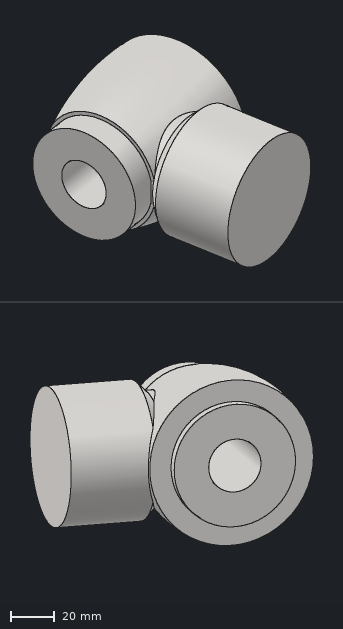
import cadquery as cq

hub_length = 78.5
hub_diameter = 58.0
bore_diameter = 25.0

front_inset = 13.0
back_inset = 5.0
barrel_front_radius = 31.0
barrel_shoulder_radius = 37.2
barrel_max_radius = 39.69
barrel_back_radius = 39.2
shoulder_from_back = 37.2
bulge_from_back = 15.0

branch_reach = 76.26
branch_diameter = 65.4
neck_diameter = 54.0
branch_body_length = 40.7

front_y = -hub_length / 2
back_y = hub_length / 2
barrel_front_y = front_y + front_inset
barrel_back_y = back_y - back_inset


def make_hub():
    """Plain cylinder running the full length along Y."""
    return cq.Workplane("XZ", origin=(0, back_y, 0)).circle(hub_diameter / 2).extrude(hub_length)


def make_barrel():
    """Smoothly bulging body of revolution about the Y axis."""
    bulge_points = [
        (-barrel_shoulder_radius, barrel_back_y - shoulder_from_back),
        (-barrel_max_radius, barrel_back_y - bulge_from_back),
        (-barrel_back_radius, barrel_back_y),
    ]
    return (
        cq.Workplane("XY")
        .moveTo(0, barrel_front_y)
        .lineTo(-barrel_front_radius, barrel_front_y)
        .spline(bulge_points, includeCurrent=True)
        .lineTo(0, barrel_back_y)
        .close()
        .revolve(360, (0, 0, 0), (0, 1, 0))
    )


def make_branch():
    """Narrow neck widening through a 45 degree cone to the branch body."""
    neck_radius = neck_diameter / 2
    branch_radius = branch_diameter / 2
    cone_end_x = branch_reach - branch_body_length
    cone_start_x = cone_end_x - (branch_radius - neck_radius)
    return (
        cq.Workplane("XY")
        .polyline([
            (0, 0),
            (0, neck_radius),
            (cone_start_x, neck_radius),
            (cone_end_x, branch_radius),
            (branch_reach, branch_radius),
            (branch_reach, 0),
        ])
        .close()
        .revolve(360, (0, 0, 0), (1, 0, 0))
    )


def make_bore():
    """Through hole along the hub axis."""
    return cq.Workplane("XZ", origin=(0, back_y, 0)).circle(bore_diameter / 2).extrude(hub_length)


result = make_hub().union(make_barrel()).union(make_branch()).cut(make_bore())